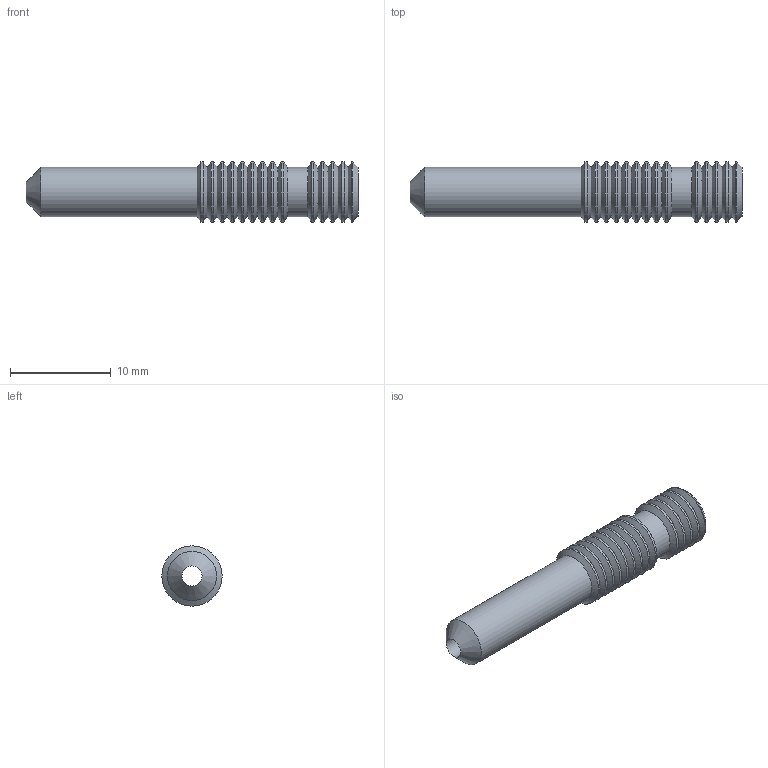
import cadquery as cq

length = 33.0
body_radius = 2.45
bore_radius = 1.0
nose_chamfer = body_radius - bore_radius

thread_radius = 3.0
pitch = 1.0
crest_width = 0.22
flank_width = (pitch - crest_width) / 2
front_ridges = 9
rear_ridges = 5
neck_length = 2.0
end_chamfer = thread_radius - body_radius

rear_start = length - rear_ridges * pitch
front_start = rear_start - neck_length - front_ridges * pitch


def thread_points(start, count):
    """Outline of a run of ridges, from its first root to its last."""
    points = [(start, body_radius)]
    for index in range(count):
        root = start + index * pitch
        crest = root + flank_width
        points.append((crest, thread_radius))
        points.append((crest + crest_width, thread_radius))
        points.append((root + pitch, body_radius))
    return points


def end_ridge_points():
    """Last ridge, whose crest and rear flank are cut by the end chamfer."""
    return [
        (length - pitch + flank_width, thread_radius),
        (length - end_chamfer, thread_radius),
        (length, body_radius),
    ]


def half_profile():
    """Half section of the wall, in order: nose, front thread, rear thread, end, bore."""
    return [
        (0, bore_radius),
        (nose_chamfer, body_radius),
        *thread_points(front_start, front_ridges),
        *thread_points(rear_start, rear_ridges - 1),
        *end_ridge_points(),
        (length, bore_radius),
    ]


section = cq.Workplane("XY").polyline(half_profile()).close()
result = section.revolve(360, (0, 0, 0), (1, 0, 0))